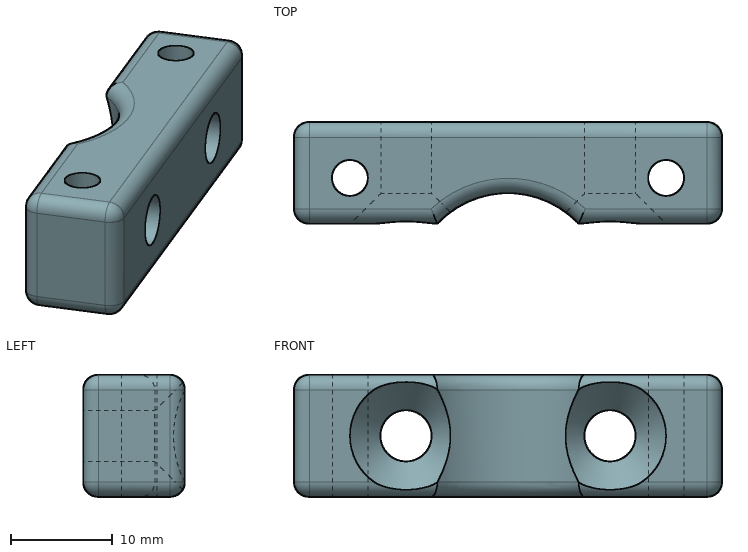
import cadquery as cq

LENGTH = 42.0
DEPTH = 10.0
HEIGHT = 12.0
EDGE_RADIUS = 1.5

SADDLE_RADIUS = 9.5
SADDLE_DEPTH = 3.0

SCREW_SPACING = 20.0
SCREW_DIAMETER = 5.0
COUNTERSINK_DIAMETER = 11.0
COUNTERSINK_ANGLE = 90.0

PIN_SPACING = 31.0
PIN_DIAMETER = 3.5
PIN_Y = -0.5

FRONT_Y = -DEPTH / 2
TOP_Z = HEIGHT / 2


def mirrored_pair(spacing, offset=0.0):
    """Two points placed evenly either side of the middle of the bar."""
    return [(side * spacing / 2, offset) for side in (-1, 1)]


def make_body():
    """Bar with the saddle cut out and its edges rounded."""
    bar = cq.Workplane("XY").box(LENGTH, DEPTH, HEIGHT)
    saddle_axis_y = FRONT_Y + SADDLE_DEPTH - SADDLE_RADIUS
    saddle = (
        cq.Workplane("XY", origin=(0, saddle_axis_y, -TOP_Z))
        .circle(SADDLE_RADIUS)
        .extrude(HEIGHT)
    )
    body = bar.cut(saddle)
    outlines = body.faces("<Z or >Z").edges()
    corners = body.faces("<X or >X").edges("|Z")
    return outlines.add(corners).fillet(EDGE_RADIUS)


def cut_screw_holes(body):
    """Through holes along Y, countersunk from the -Y face."""
    return (
        body.copyWorkplane(cq.Workplane("XZ", origin=(0, FRONT_Y, 0)))
        .pushPoints(mirrored_pair(SCREW_SPACING))
        .cskHole(SCREW_DIAMETER, COUNTERSINK_DIAMETER, COUNTERSINK_ANGLE)
    )


def cut_pin_holes(body):
    """Plain through holes along Z."""
    pins = (
        cq.Workplane("XY", origin=(0, 0, -TOP_Z))
        .pushPoints(mirrored_pair(PIN_SPACING, PIN_Y))
        .circle(PIN_DIAMETER / 2)
        .extrude(HEIGHT)
    )
    return body.cut(pins)


result = cut_pin_holes(cut_screw_holes(make_body()))